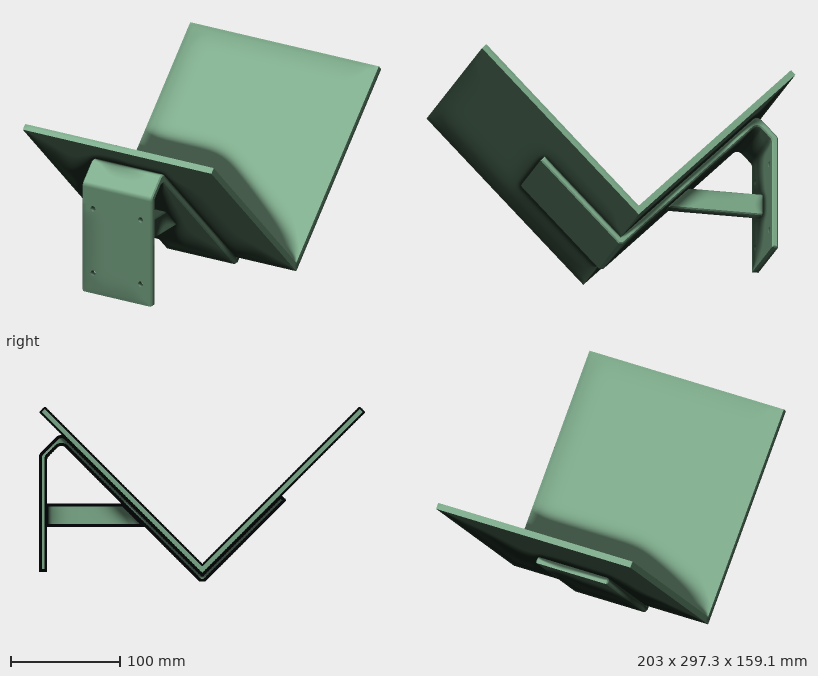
import cadquery as cq
import math

overall_depth = 297.3
slope_share = math.sqrt(0.5)

tray_width = 203.0
arm_length = 210.0
tray_sheet = 6.0
tray_reach = arm_length * slope_share

bracket_width = 75.0
bracket_sheet = 6.0
front_lip_length = 101.7
wall_y = tray_reach - overall_depth
bend_z = 109.5
wall_bottom_z = 2.7
bend_radius = 6.0
corner_chamfer = 3.0
edge_chamfer = 1.2

rib_width = 12.0
rib_bottom_z = 44.0
rib_height = 20.0

hole_diameter = 5.0
hole_pitch_x = 51.0
hole_pitch_z = 63.5
hole_center_z = 54.7


def extrude_profile(points, width):
    """Extrude a YZ outline symmetrically about the X = 0 plane."""
    return cq.Workplane("YZ", origin=(-width / 2, 0, 0)).polyline(points).close().extrude(width)


def make_tray():
    reach = tray_reach
    step = tray_sheet * slope_share
    outline = [
        (0, 0),
        (reach, reach),
        (reach - step, reach + step),
        (0, 2 * step),
        (step - reach, reach + step),
        (-reach, reach),
    ]
    return extrude_profile(outline, tray_width)


def make_bracket():
    lip = front_lip_length * slope_share
    step = bracket_sheet * slope_share
    inner_wall_y = wall_y + bracket_sheet
    apex = (bend_z - wall_y) / 2
    inner_apex_z = apex - 2 * step
    inner_bend_z = inner_apex_z + apex + inner_wall_y
    outline = [
        (0, 0),
        (lip, lip),
        (lip + step, lip - step),
        (0, -2 * step),
        (-apex, inner_apex_z),
        (inner_wall_y, inner_bend_z),
        (inner_wall_y, wall_bottom_z),
        (wall_y, wall_bottom_z),
        (wall_y, bend_z),
        (-apex, apex),
    ]
    body = extrude_profile(outline, bracket_width)

    def bend_edge(y, z):
        return cq.selectors.NearestToPointSelector((0, y, z))

    body = body.edges(bend_edge(0, -2 * step)).chamfer(corner_chamfer)
    for y, z in [(-apex, apex), (-apex, inner_apex_z), (wall_y, bend_z), (inner_wall_y, inner_bend_z)]:
        body = body.edges(bend_edge(y, z)).fillet(bend_radius)
    return body.faces("<X or >X").edges().chamfer(edge_chamfer)


def make_rib():
    top_z = rib_bottom_z + rib_height
    wall_end_y = wall_y + bracket_sheet
    arm_drop = 2 * bracket_sheet * slope_share
    outline = [
        (wall_end_y, rib_bottom_z),
        (-rib_bottom_z - arm_drop, rib_bottom_z),
        (-top_z - arm_drop, top_z),
        (wall_end_y, top_z),
    ]
    rib = extrude_profile(outline, rib_width)
    return rib.edges().chamfer(edge_chamfer)


def make_screw_holes():
    return (
        cq.Workplane("XZ", origin=(0, wall_y, hole_center_z))
        .rarray(hole_pitch_x, hole_pitch_z, 2, 2)
        .circle(hole_diameter / 2)
        .extrude(-bracket_sheet)
    )


bracket = make_bracket().union(make_rib()).cut(make_screw_holes())
result = make_tray().union(bracket)